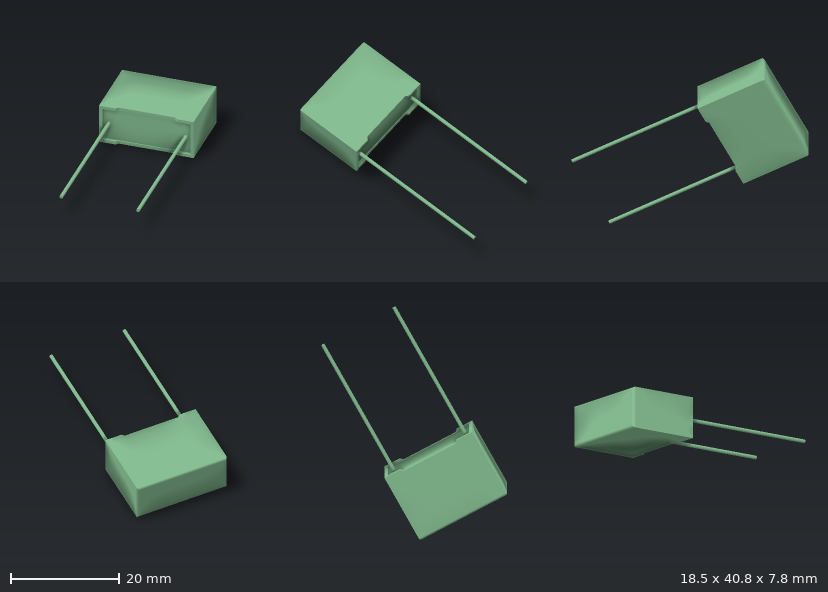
import cadquery as cq

overall_length = 40.8
body_width = 18.5
body_height = 7.8
lead_protrusion = 27.0
body_depth = overall_length - lead_protrusion

wall = 0.6
back_fillet = 0.5
notch_depth = 0.5
notch_floor_width = 10.98
notch_mouth_width = notch_floor_width + 2 * notch_depth

fill_recess = 0.75
cavity_width = body_width - 2 * wall
cavity_height = body_height - 2 * wall
fill_depth = body_depth - wall - fill_recess

lead_diameter = 0.7
lead_pitch = 15.0
lead_length = lead_protrusion + fill_recess


def block_from(front_y, width, depth, height):
    """Block centred on X and Z that extends in +Y from front_y."""
    block = cq.Workplane("XY").box(width, depth, height, centered=(True, False, True))
    return block.translate((0, front_y, 0))


def make_notch():
    """Flared standoff notch, cut through both long walls of the rim."""
    return (
        cq.Workplane("XY")
        .polyline([
            (-notch_mouth_width / 2, 0),
            (-notch_floor_width / 2, notch_depth),
            (notch_floor_width / 2, notch_depth),
            (notch_mouth_width / 2, 0),
        ])
        .close()
        .extrude(body_height / 2, both=True)
    )


def make_housing():
    """Box open at the front, with rounded back edges and a notched rim."""
    shell = block_from(0, body_width, body_depth, body_height)
    shell = shell.faces(">Y").edges().fillet(back_fillet)
    cavity = block_from(0, cavity_width, body_depth - wall, cavity_height)
    return shell.cut(cavity).cut(make_notch())


def make_fill():
    """Potting block that fills the cavity behind the recess."""
    return block_from(fill_recess, cavity_width, fill_depth, cavity_height)


def make_lead(x):
    """Straight round lead that starts on the face of the fill."""
    return (
        cq.Workplane("XZ", origin=(x, fill_recess, 0))
        .circle(lead_diameter / 2)
        .extrude(lead_length)
    )


housing = make_housing()
fill = make_fill()
leads = [make_lead(side * lead_pitch / 2) for side in (-1, 1)]

result = cq.Compound.makeCompound([
    housing.val(),
    fill.val(),
    *[lead.val() for lead in leads],
])